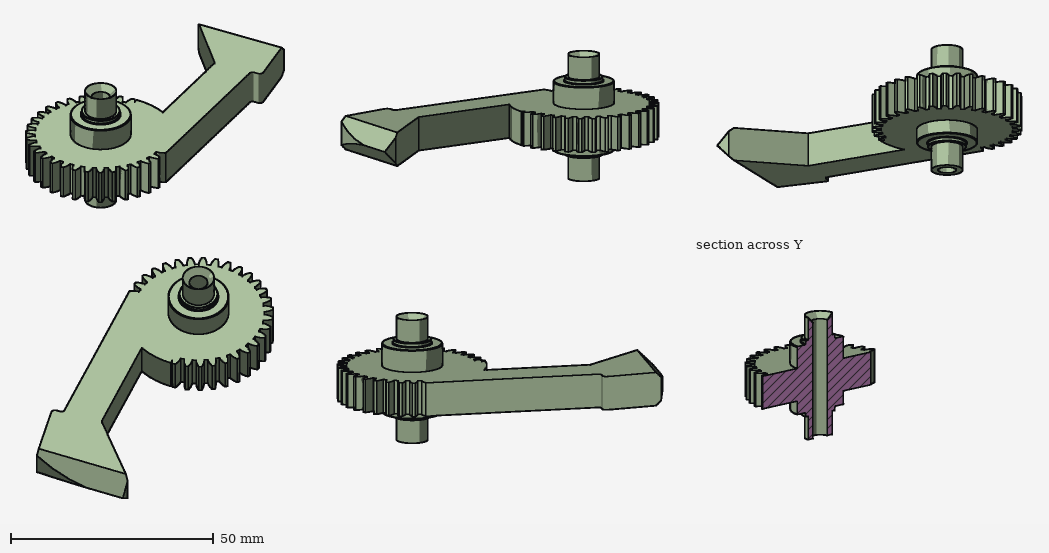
import cadquery as cq
import math

tooth_count = 35
gear_diameter = 37.0
pressure_angle = math.radians(20)
dedendum_factor = 1.25
flank_points = 5
gear_thickness = 8.5

outer_radius = gear_diameter / 2
gear_module = gear_diameter / (tooth_count + 2)
pitch_radius = gear_module * tooth_count / 2
root_radius = pitch_radius - dedendum_factor * gear_module
base_radius = pitch_radius * math.cos(pressure_angle)
tooth_pitch = 2 * math.pi / tooth_count
first_tooth = tooth_count // 4 + 1
last_tooth = tooth_count

shaft_diameter = 7.8
collar_diameter = 9.5
collar_base_diameter = 9.95
boss_diameter = 15.0
bore_diameter = 4.5
shaft_top = 20.9
shaft_bottom = -10.5
upper_stub_length = 5.7
lower_stub_length = 6.0
collar_height = 1.05
edge_size = 0.2
collar_bevel = 0.12
bore_rim = 0.04

arm_width = 9.95
total_length = 80.3
tip_arc_radius = 62.0
claw_left_x = -4.5
claw_left_y = 58.55
claw_heel_y = 43.2
claw_right_x = 19.6
claw_lip_x = 21.45
claw_lip_y = 43.85
lip_radius = 1.0
neck_radius = 0.8

tip_y = total_length - outer_radius
arm_right_x = outer_radius
arm_left_x = arm_right_x - arm_width
tip_bevel = gear_thickness / 2
bevel_start_y = tip_y - tip_bevel


def polar(radius, angle):
    return (radius * math.cos(angle), radius * math.sin(angle))


def involute_angle(radius):
    """Angle swept by the involute between the base circle and the given radius."""
    roll = math.sqrt((radius / base_radius) ** 2 - 1)
    return roll - math.atan(roll)


def tooth():
    """One involute tooth on the +X axis, with its foot sunk into the gear disc."""
    base_half_angle = tooth_pitch / 4 + involute_angle(pitch_radius)
    radius_step = (outer_radius - base_radius) / (flank_points - 1)
    radii = [base_radius + i * radius_step for i in range(flank_points)]
    half_angles = [base_half_angle - involute_angle(r) for r in radii]
    lower = [polar(r, -a) for r, a in zip(radii, half_angles)]
    upper = [polar(r, a) for r, a in zip(radii, half_angles)]
    foot_radius = root_radius - gear_module
    return (
        cq.Workplane("XY")
        .moveTo(*polar(foot_radius, -base_half_angle))
        .lineTo(*lower[0])
        .spline(lower[1:], includeCurrent=True)
        .threePointArc((outer_radius, 0), upper[-1])
        .spline(upper[-2::-1], includeCurrent=True)
        .lineTo(*polar(foot_radius, base_half_angle))
        .close()
        .extrude(gear_thickness)
    )


def gear():
    """Gear disc with a solid quarter and teeth around the other three."""
    body = cq.Workplane("XY").circle(root_radius).extrude(gear_thickness)
    solid_quarter = (
        cq.Workplane("XY")
        .lineTo(outer_radius, 0)
        .threePointArc(polar(outer_radius, math.pi / 4), (0, outer_radius))
        .close()
        .extrude(gear_thickness)
    )
    body = body.union(solid_quarter)
    single_tooth = tooth()
    for index in range(first_tooth, last_tooth + 1):
        angle = math.degrees(index * tooth_pitch)
        body = body.union(single_tooth.rotate((0, 0, 0), (0, 0, 1), angle))
    return body


def arm():
    """Straight arm ending in a claw whose tip is bevelled to an edge at mid thickness."""
    body = (
        cq.Workplane("XY")
        .moveTo(arm_left_x, 0)
        .lineTo(arm_right_x, 0)
        .lineTo(arm_right_x, claw_lip_y)
        .lineTo(claw_lip_x, claw_lip_y)
        .lineTo(claw_right_x, bevel_start_y)
        .lineTo(claw_right_x, tip_y)
        .lineTo(claw_left_x, tip_y)
        .lineTo(claw_left_x, claw_left_y)
        .lineTo(arm_left_x, claw_heel_y)
        .close()
        .extrude(gear_thickness)
    )
    lip_edge = cq.selectors.NearestToPointSelector((claw_lip_x, claw_lip_y, tip_bevel))
    neck_edge = cq.selectors.NearestToPointSelector((arm_right_x, claw_lip_y, tip_bevel))
    body = body.edges("|Z").edges(lip_edge).fillet(lip_radius)
    body = body.edges("|Z").edges(neck_edge).fillet(neck_radius)
    side_profile = (
        cq.Workplane("YZ", origin=(claw_left_x, 0, 0))
        .lineTo(bevel_start_y, 0)
        .lineTo(tip_y, tip_bevel)
        .lineTo(bevel_start_y, gear_thickness)
        .lineTo(0, gear_thickness)
        .close()
        .extrude(claw_lip_x - claw_left_x)
    )
    sweep_limit = cq.Workplane("XY").circle(tip_arc_radius).extrude(gear_thickness)
    return body.intersect(side_profile).intersect(sweep_limit)


def shaft():
    """Turned shaft with a stub, a collar with a flared foot, and a boss on each side of the gear."""
    shaft_radius = shaft_diameter / 2
    collar_radius = collar_diameter / 2
    flare_radius = collar_base_diameter / 2
    boss_radius = boss_diameter / 2

    def half_outline(end, stub_length, inward):
        """Points from the shaft end to the boss; inward is the Z direction towards the gear."""
        collar_end = end + inward * stub_length
        boss_end = collar_end + inward * collar_height
        return [
            (0, end),
            (shaft_radius, end),
            (shaft_radius, collar_end),
            (collar_radius - collar_bevel, collar_end),
            (collar_radius, collar_end + inward * collar_bevel),
            (collar_radius, boss_end - inward * edge_size),
            (flare_radius, boss_end),
            (boss_radius - edge_size, boss_end),
            (boss_radius, boss_end + inward * edge_size),
        ]

    upper_half = half_outline(shaft_top, upper_stub_length, -1)
    lower_half = half_outline(shaft_bottom, lower_stub_length, 1)
    outline = upper_half + lower_half[::-1]
    return cq.Workplane("XZ").polyline(outline).close().revolve(360, (0, 0, 0), (0, 1, 0))


def bore():
    """Through hole with a 45 degree countersink that leaves a thin rim at the shaft top."""
    bore_radius = bore_diameter / 2
    sink_radius = shaft_diameter / 2 - bore_rim
    sink_depth = sink_radius - bore_radius
    outline = [
        (0, shaft_bottom),
        (bore_radius, shaft_bottom),
        (bore_radius, shaft_top - sink_depth),
        (sink_radius, shaft_top),
        (0, shaft_top),
    ]
    return cq.Workplane("XZ").polyline(outline).close().revolve(360, (0, 0, 0), (0, 1, 0))


result = gear().union(arm()).union(shaft()).cut(bore())